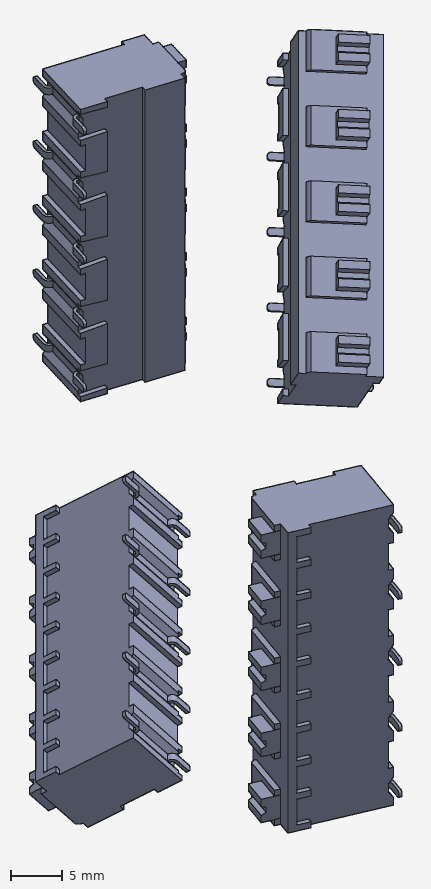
import cadquery as cq
import math


height = 34.68
pitch = 7.63
station_count = 5
mid_height = height / 2
stations = [(i - (station_count - 1) / 2) * pitch for i in range(station_count)]
between_stations = [z + pitch / 2 for z in stations[:-1]]

half_width = 4.23
inner_half_width = 3.68
front_y = 0.2
floor_y = 0.75
back_y = 11.75
lip_front_y = 10.8
finger_front_y = 9.25
groove_front_y = 3.2
groove_back_y = 7.35
rail_gap = 3.05

finger_thickness = 0.7
recess_half = 1.6
slot_draft = 0.2
end_slot_draft = 0.1
end_slot_wall = 0.6

trench_mouth_half = 1.2
trench_floor_half = 0.5

ridge_left_x = -2.45
ridge_corner_x = 3.1
ridge_right_x = 3.47
ridge_flank_x = 3.33
ridge_flank_y = 12.17
ridge_back_y = 12.4
ridge_gap = 3.6
tab_back_y = 13.85
tab_left_x = -2.5
tab_right_x = 0.62
tab_half = 1.35
tab_notch_depth = 0.52
tab_notch_mouth_half = 0.52
tab_notch_floor_half = 0.28

pin_span = 10.5
pin_half_span = pin_span / 2
pin_height = 0.8
pin_thickness = 0.35
pin_bend_radius = 0.65
pin_leg_x = 2.55
pin_leg_end_y = 1.4
pin_tip_fillet = 0.3


def box(x0, x1, y0, y1, z0, z1):
    """Box between opposite corners."""
    return cq.Workplane("XY").box(x1 - x0, y1 - y0, z1 - z0, centered=False).translate((x0, y0, z0))


def along_z(outline):
    """Extrude an XY outline over the whole height."""
    return outline.extrude(height).translate((0, 0, -mid_height))


def along_x(points, x0, x1):
    """Extrude a closed YZ outline between two X positions."""
    return cq.Workplane("YZ").polyline(points).close().extrude(x1 - x0).translate((x0, 0, 0))


def recess_limits(z, end_wall):
    """Lower and upper edge of the recess at a station, leaving a wall at the housing ends."""
    end_limit = mid_height - end_wall
    return max(z - recess_half, -end_limit), min(z + recess_half, end_limit)


def housing():
    """Main block with its left lip and the long groove in the right face."""
    outline = (
        cq.Workplane("XY")
        .moveTo(-inner_half_width, front_y)
        .lineTo(half_width, front_y)
        .lineTo(half_width, groove_front_y)
        .lineTo(inner_half_width, groove_front_y)
        .lineTo(inner_half_width, groove_back_y)
        .lineTo(half_width, groove_back_y)
        .lineTo(half_width, back_y)
        .lineTo(-half_width, back_y)
        .lineTo(-half_width, finger_front_y)
        .lineTo(-inner_half_width, finger_front_y)
        .close()
    )
    return along_z(outline)


def ridge():
    """Raised strip on the back face with a rounded right flank."""
    outline = (
        cq.Workplane("XY")
        .moveTo(ridge_left_x, back_y)
        .lineTo(ridge_left_x, ridge_back_y)
        .lineTo(ridge_corner_x, ridge_back_y)
        .threePointArc((ridge_flank_x, ridge_flank_y), (ridge_right_x, back_y))
        .close()
    )
    return along_z(outline)


def gaps_between_stations(z):
    """Cutters that split the front rails, the back ridge and the lip fingers."""
    rail = box(-half_width, half_width, front_y, floor_y, z - rail_gap / 2, z + rail_gap / 2)
    back = box(ridge_left_x, ridge_right_x, back_y, ridge_back_y, z - ridge_gap / 2, z + ridge_gap / 2)
    finger_gap_half = pitch / 2 - recess_half - finger_thickness
    finger = box(
        -half_width, -inner_half_width, finger_front_y, lip_front_y,
        z - finger_gap_half, z + finger_gap_half,
    )
    return [rail, back, finger]


def trench(z):
    """Trapezoidal trench across the front rails."""
    points = [
        (front_y, z - trench_mouth_half),
        (front_y, z + trench_mouth_half),
        (floor_y, z + trench_floor_half),
        (floor_y, z - trench_floor_half),
    ]
    return along_x(points, -half_width, half_width)


def finger_recess(z):
    """Recess between the two lip fingers of a station."""
    low, high = recess_limits(z, finger_thickness)
    return box(-half_width, -inner_half_width, finger_front_y, lip_front_y, low, high)


def right_slot(z):
    """Tapered slot from the front into the groove of the right face."""
    low, high = recess_limits(z, end_slot_wall)
    is_end = z in (stations[0], stations[-1])
    draft = end_slot_draft if is_end else slot_draft
    points = [
        (front_y, low),
        (front_y, high),
        (groove_front_y, high - draft),
        (groove_front_y, low + draft),
    ]
    return along_x(points, inner_half_width, half_width)


def tab(z):
    """Back tab with a trapezoidal notch in its end."""
    notch_floor_y = tab_back_y - tab_notch_depth
    points = [
        (back_y, z - tab_half),
        (tab_back_y, z - tab_half),
        (tab_back_y, z - tab_notch_mouth_half),
        (notch_floor_y, z - tab_notch_floor_half),
        (notch_floor_y, z + tab_notch_floor_half),
        (tab_back_y, z + tab_notch_mouth_half),
        (tab_back_y, z + tab_half),
        (back_y, z + tab_half),
    ]
    return along_x(points, tab_left_x, tab_right_x)


def right_pin(z):
    """Gull-wing pin: a flat foot, a round bend and a leg that enters the housing."""
    bend_x = pin_leg_x + pin_bend_radius
    inner_radius = pin_bend_radius - pin_thickness
    diagonal = math.sqrt(0.5)
    outer_mid = (bend_x - pin_bend_radius * diagonal, pin_bend_radius * (1 - diagonal))
    inner_mid = (bend_x - inner_radius * diagonal, pin_bend_radius - inner_radius * diagonal)
    pin = (
        cq.Workplane("XY")
        .moveTo(pin_half_span, 0)
        .lineTo(bend_x, 0)
        .threePointArc(outer_mid, (pin_leg_x, pin_bend_radius))
        .lineTo(pin_leg_x, pin_leg_end_y)
        .lineTo(pin_leg_x + pin_thickness, pin_leg_end_y)
        .lineTo(pin_leg_x + pin_thickness, pin_bend_radius)
        .threePointArc(inner_mid, (bend_x, pin_thickness))
        .lineTo(pin_half_span, pin_thickness)
        .close()
        .extrude(pin_height)
        .translate((0, 0, z - pin_height / 2))
    )
    return pin.faces(">X").edges("|Y").fillet(pin_tip_fillet)


body = housing().union(ridge())
for z in between_stations:
    for gap in gaps_between_stations(z):
        body = body.cut(gap)
for z in stations:
    body = body.cut(trench(z)).cut(finger_recess(z)).cut(right_slot(z))
for z in stations:
    pin = right_pin(z)
    body = body.union(tab(z)).union(pin).union(pin.mirror("YZ"))

result = body